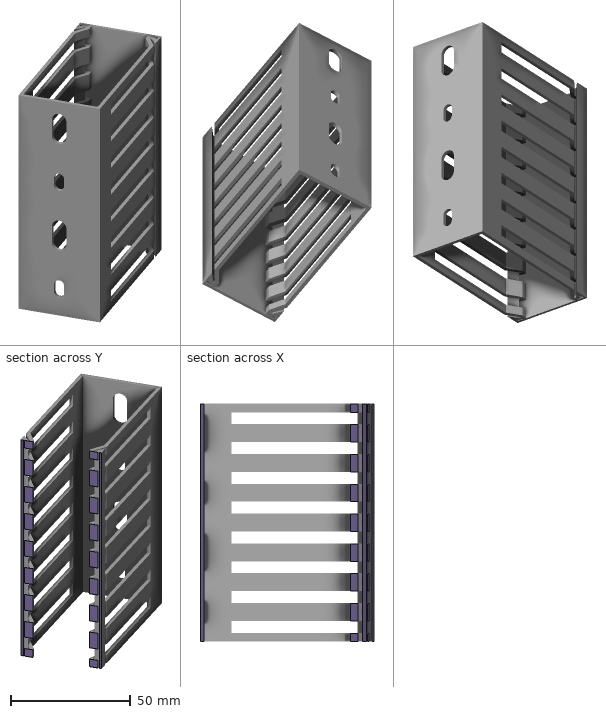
import cadquery as cq

width = 36.5
depth = 73.2
length = 100.0
half_width = width / 2

wall = 1.6
base_thickness = 1.7

lid_thickness = 1.2
lid_wall = 0.9
hook_top_depth = 3.3
hook_chamfer_start_depth = 2.8
hook_reach = 3.3
hook_tip_depth = 7.1

finger_bend_depth = 9.1
finger_inner_bend_depth = 10.3
finger_top_depth = 1.4
finger_shoulder_depth = 4.1
finger_inner_offset = 5.6
finger_throat_offset = 4.1
barb_clearance = 0.5
barb_top_depth = 2.3
barb_ramp_offset = 4.3
barb_chamfer = 0.5
barb_nose_offset = lid_wall + barb_clearance

slot_pitch = 12.5
slot_width = 5.0
slot_count = int(length / slot_pitch)
slot_floor = 13.3

hole_pitch = 25.0
large_hole_width = 6.5
large_hole_length = 14.0
small_hole_width = 4.4
small_hole_length = 8.0
first_small_hole_z = hole_pitch / 2
first_large_hole_z = first_small_hole_z + hole_pitch


def extrude_symmetric(left_half):
    """Extrude a channel profile given by its left half as (offset from side face, depth below lid face)."""
    left = [(offset - half_width, depth - below) for offset, below in left_half]
    right = [(-x, y) for x, y in reversed(left)]
    return cq.Workplane("XY").polyline(left + right).close().extrude(length)


def make_lid():
    """Flat cover with two short side walls ending in hooks that point inward."""
    return extrude_symmetric([
        (0, 0),
        (0, hook_tip_depth),
        (hook_reach, hook_top_depth),
        (barb_nose_offset + barb_chamfer, hook_top_depth),
        (lid_wall, hook_chamfer_start_depth),
        (lid_wall, lid_thickness),
    ])


def make_duct_channel():
    """U-shaped channel whose side walls bend inward and end in outward barbs."""
    return extrude_symmetric([
        (wall, depth - base_thickness),
        (wall, finger_inner_bend_depth),
        (finger_inner_offset, finger_shoulder_depth),
        (finger_inner_offset, finger_top_depth),
        (barb_ramp_offset, finger_top_depth),
        (barb_nose_offset, barb_top_depth),
        (barb_nose_offset, hook_top_depth - barb_chamfer),
        (barb_nose_offset + barb_chamfer, hook_top_depth),
        (finger_throat_offset, hook_top_depth),
        (0, finger_bend_depth),
        (0, depth),
    ])


def finger_slots():
    """Bars that cut both side walls from the slot floor out through the finger ends."""
    slots = cq.Workplane("XY")
    for index in range(slot_count):
        slots = slots.union(
            cq.Workplane("XY")
            .box(width, depth - slot_floor, slot_width, centered=(True, False, True))
            .translate((0, slot_floor, (index + 0.5) * slot_pitch))
        )
    return slots


def base_holes(first_z, hole_length, hole_width):
    """Cutters for two upright obround holes, every other step of the hole pitch."""
    return (
        cq.Workplane("XZ")
        .pushPoints([(0, first_z), (0, first_z + 2 * hole_pitch)])
        .slot2D(hole_length, hole_width, 90)
        .extrude(-base_thickness)
    )


def make_duct():
    """Channel with its side walls slotted into fingers and its base pierced for mounting."""
    small_holes = base_holes(first_small_hole_z, small_hole_length, small_hole_width)
    large_holes = base_holes(first_large_hole_z, large_hole_length, large_hole_width)
    return make_duct_channel().cut(finger_slots()).cut(small_holes).cut(large_holes).solids()


duct = make_duct()
lid = make_lid()

result = cq.Compound.makeCompound([duct.val(), lid.val()])